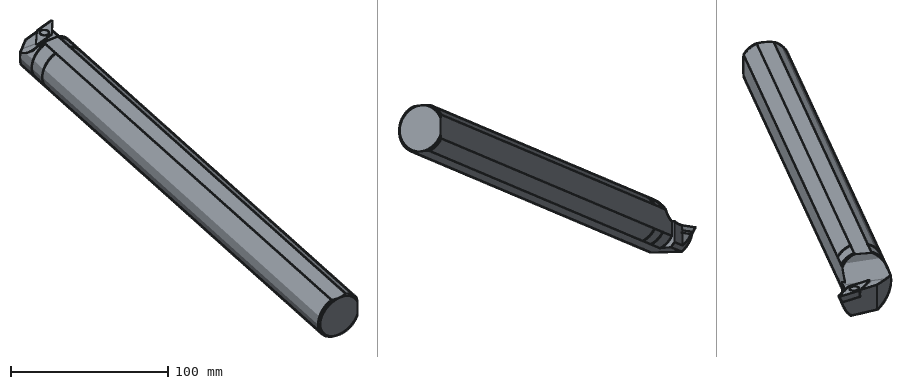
import cadquery as cq
import math


bar_radius = 16.0
bar_end_x = 351.64
flat_height = 15.0
side_flat_y = 14.0
end_chamfer = 1.0
groove_positions = (31.7, 43.4)
groove_width = 0.2
groove_depth = 0.1

bore_clearance_radius = 20.0
head_side_y = 16.0
head_end_x = 18.8
front_corner_y = -4.8

rake_angle = 4.3
scoop_start_x = 15.5
scoop_end_x = 30.3
scoop_bulge = 3.2
clearance_margin = 5.0

insert_circle = 9.525
insert_thickness = 4.76
point_angle = 35.0
insert_clearance = 7.0
nose_radius = 0.8
point_direction = 125.0
nose_y = 37.79 - bar_radius
nose_z = 0.6

screw_shank_diameter = 4.4
screw_head_diameter = 6.0
screw_flare_radius = 2.0

tan_rake = math.tan(math.radians(rake_angle))
half_point = math.radians(point_angle / 2)
half_length = insert_circle / 2 / math.sin(half_point)
half_width = insert_circle / 2 / math.cos(half_point)
point_x = math.cos(math.radians(point_direction))
point_y = math.sin(math.radians(point_direction))

nose_to_center = half_length - nose_radius / math.sin(half_point)
insert_center_x = nose_radius - nose_to_center * point_x
insert_center_y = nose_y - nose_radius - nose_to_center * point_y


def rake_height(y):
    """Height of the top face of the head at a given Y."""
    return nose_z + (nose_y - y) * tan_rake


insert_plane = cq.Plane(
    origin=(insert_center_x, insert_center_y, rake_height(insert_center_y)),
    xDir=(point_x, point_y, -point_y * tan_rake),
    normal=(0, tan_rake, 1),
)


def box_between(x_range, y_range, z_range):
    size = [high - low for low, high in (x_range, y_range, z_range)]
    corner = (x_range[0], y_range[0], z_range[0])
    return cq.Workplane("XY").box(*size, centered=False).translate(corner)


def insert_blank():
    """Rhombus that narrows downwards from its top face, with rounded acute corners."""
    prism = (
        cq.Workplane(insert_plane)
        .polyline([(half_length, 0), (0, half_width), (-half_length, 0), (0, -half_width)])
        .close()
        .extrude(-insert_thickness, taper=insert_clearance)
    )
    diagonal = insert_plane.xDir
    edges = prism.edges().sort(lambda edge: edge.Center().dot(diagonal)).vals()
    return prism.newObject([edges[0], edges[-1]]).fillet(nose_radius)


def screw():
    """Screw inside the insert: the shank flares out in an arc to a head flush with the top face."""
    shank = screw_shank_diameter / 2
    head = screw_head_diameter / 2
    flare = head - shank
    arc = screw_flare_radius
    flare_depth = math.sqrt(arc**2 - (arc - flare)**2)
    half_sweep = math.asin(flare_depth / arc) / 2
    arc_middle = (shank + arc * (1 - math.cos(half_sweep)), -flare_depth + arc * math.sin(half_sweep))
    profile_plane = cq.Plane(
        origin=insert_plane.origin, xDir=insert_plane.xDir, normal=-insert_plane.yDir)
    return (
        cq.Workplane(profile_plane)
        .moveTo(0, 0)
        .lineTo(head, 0)
        .threePointArc(arc_middle, (shank, -flare_depth))
        .lineTo(shank, -insert_thickness)
        .lineTo(0, -insert_thickness)
        .close()
        .revolve(360, (0, 0, 0), (0, 1, 0))
    )


def make_insert():
    return insert_blank().cut(screw())


def insert_pocket():
    """Seat of the insert, open upwards so that it also notches the foot of the scoop."""
    blank = insert_blank()
    top_face = blank.faces(cq.selectors.DirectionMinMaxSelector(insert_plane.zDir)).val()
    opening = cq.Solid.extrudeLinear(top_face, insert_plane.zDir * clearance_margin)
    return blank.union(cq.Workplane(opening))


def ring_groove(start_x):
    """Fine marking line turned around the bar."""
    outer = bar_radius + groove_depth
    return (
        cq.Workplane("YZ", origin=(start_x, 0, 0))
        .circle(outer)
        .circle(bar_radius - groove_depth)
        .extrude(groove_width)
    )


def make_bar():
    bar = cq.Workplane("YZ").circle(bar_radius).extrude(bar_end_x).faces(">X").chamfer(end_chamfer)
    for start_x in groove_positions:
        bar = bar.cut(ring_groove(start_x))
    flats = box_between(
        (0, bar_end_x), (-bar_radius, side_flat_y), (-flat_height, flat_height))
    return bar.intersect(flats)


def head_lobe():
    """Wider round on the +Y side of the head, which carries the insert."""
    lobe = cq.Workplane("YZ").circle(bore_clearance_radius).extrude(head_end_x)
    return lobe.intersect(box_between(
        (0, head_end_x), (0, bore_clearance_radius), (-flat_height, flat_height)))


def plan_outline():
    """Upright prism with the outline of the holder seen along Z."""
    set_in = insert_thickness * math.tan(math.radians(insert_clearance))
    tip_offset = half_length - set_in / math.sin(half_point)
    tip_x = insert_center_x + tip_offset * point_x
    tip_y = insert_center_y + tip_offset * point_y
    point_rad = math.radians(point_direction)
    front_corner_x = tip_x + (tip_y - front_corner_y) / abs(math.tan(point_rad - half_point))
    side_corner_x = tip_x + (tip_y - head_side_y) / abs(math.tan(point_rad + half_point))
    return (
        cq.Workplane("XY", origin=(0, 0, -flat_height))
        .polyline([
            (tip_x, tip_y),
            (side_corner_x, head_side_y),
            (head_end_x, head_side_y),
            (head_end_x, side_flat_y),
            (bar_end_x, side_flat_y),
            (bar_end_x, -bar_radius),
            (head_end_x, -bar_radius),
            (front_corner_x, front_corner_y),
        ])
        .close()
        .extrude(2 * flat_height)
    )


def head_clearance():
    """Everything above the raked top face, ending in the arc of the scoop."""
    floor = rake_height(0)
    run = scoop_end_x - scoop_start_x
    rise = flat_height - floor
    chord = math.hypot(run, rise)
    arc_middle = (
        scoop_start_x + run / 2 + scoop_bulge * rise / chord,
        floor + rise / 2 - scoop_bulge * run / chord,
    )
    overhead = flat_height + clearance_margin
    return (
        cq.Workplane("XZ")
        .moveTo(-clearance_margin, floor)
        .lineTo(scoop_start_x, floor)
        .threePointArc(arc_middle, (scoop_end_x, flat_height))
        .lineTo(scoop_end_x, overhead)
        .lineTo(-clearance_margin, overhead)
        .close()
        .extrude(bore_clearance_radius + clearance_margin, both=True)
        .rotate((0, 0, floor), (1, 0, floor), -rake_angle)
    )


def make_holder():
    body = make_bar().union(head_lobe()).intersect(plan_outline())
    body = body.cut(head_clearance()).cut(insert_pocket())
    return body.union(screw())


insert = make_insert()
holder = make_holder()
result = cq.Compound.makeCompound([holder.val(), insert.val()])